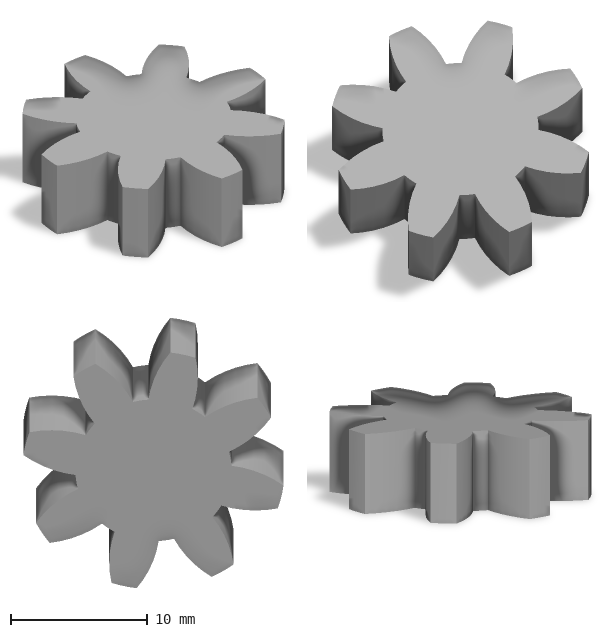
import cadquery as cq
import math

TOOTH_COUNT = 8
THICKNESS = 6.0
TIP_RADIUS = 9.575
ROOT_RADIUS = 5.71
FLANK_RADIUS = 8.0
TIP_WIDTH = 1.89
ROOT_WIDTH = 3.30

PITCH_ANGLE = 360.0 / TOOTH_COUNT
TIP_HALF_ANGLE = math.degrees(math.asin(TIP_WIDTH / 2 / TIP_RADIUS))
ROOT_HALF_ANGLE = math.degrees(math.asin(ROOT_WIDTH / 2 / ROOT_RADIUS))


def polar_point(radius, angle):
    """Point at the given radius and angle (degrees) from the gear axis."""
    return (radius * math.cos(math.radians(angle)), radius * math.sin(math.radians(angle)))


def add_tooth(outline, axis_angle):
    """Draw one tooth counter-clockwise, then the root arc up to the next tooth."""
    tip_start = polar_point(TIP_RADIUS, axis_angle - TIP_HALF_ANGLE)
    tip_middle = polar_point(TIP_RADIUS, axis_angle)
    tip_end = polar_point(TIP_RADIUS, axis_angle + TIP_HALF_ANGLE)
    root_start = polar_point(ROOT_RADIUS, axis_angle + ROOT_HALF_ANGLE)
    root_middle = polar_point(ROOT_RADIUS, axis_angle + PITCH_ANGLE / 2)
    root_end = polar_point(ROOT_RADIUS, axis_angle + PITCH_ANGLE - ROOT_HALF_ANGLE)

    outline = outline.radiusArc(tip_start, -FLANK_RADIUS)
    outline = outline.threePointArc(tip_middle, tip_end)
    outline = outline.radiusArc(root_start, -FLANK_RADIUS)
    return outline.threePointArc(root_middle, root_end)


def make_gear():
    """Solid gear standing on the XY plane, with one tooth along +X."""
    outline = cq.Workplane("XY").moveTo(*polar_point(ROOT_RADIUS, -ROOT_HALF_ANGLE))
    for tooth in range(TOOTH_COUNT):
        outline = add_tooth(outline, tooth * PITCH_ANGLE)
    return outline.close().extrude(THICKNESS)


result = make_gear()